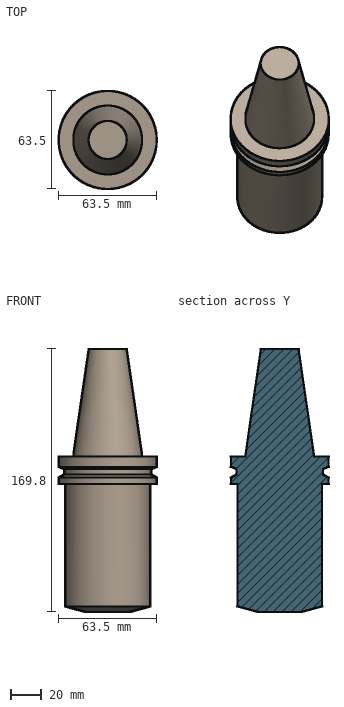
import cadquery as cq

total_height = 169.8

body_radius = 55.0 / 2
nose_radius = 28.9 / 2
nose_height = 3.5

flange_radius = 63.5 / 2
flange_bottom = 82.5
flange_top = 100.5
groove_radius = 56.4 / 2
groove_bottom = 86.8
groove_top = 93.8
lower_flank_height = 2.0
upper_flank_height = 1.5

shank_base_radius = 44.5 / 2
shank_tip_radius = 24.6 / 2
collar_height = 1.0
shank_bottom = flange_top + collar_height

profile = [
    (0, 0),
    (nose_radius, 0),
    (body_radius, nose_height),
    (body_radius, flange_bottom),
    (flange_radius, flange_bottom),
    (flange_radius, groove_bottom),
    (groove_radius, groove_bottom + lower_flank_height),
    (groove_radius, groove_top - upper_flank_height),
    (flange_radius, groove_top),
    (flange_radius, flange_top),
    (shank_base_radius, flange_top),
    (shank_base_radius, shank_bottom),
    (shank_tip_radius, total_height),
    (0, total_height),
]

result = cq.Workplane("XZ").polyline(profile).close().revolve(360, (0, 0), (0, 1))